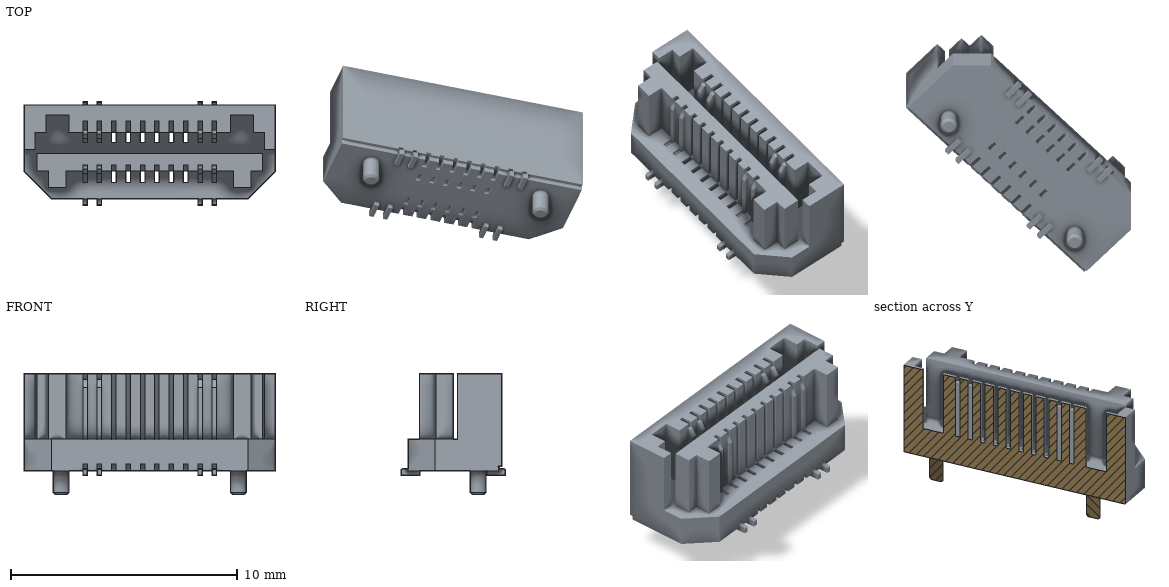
import cadquery as cq

length = 11.1
depth = 4.15
height = 4.3
base_height = 1.4
corner_chamfer = 1.2
half_length = length / 2

wall_front = 2.18
cavity_face = 2.94
cavity_half = half_length - 0.47
key_recess_outer = half_length - 0.97
key_recess_inner = half_length - 1.98
key_recess_back = 3.7
rear_step_depth = 0.15
rear_step_height = 0.2

tongue_front = 1.23
tongue_back = 2.0
tongue_half = half_length - 0.57
rib_front = 0.5
rib_outer = half_length - 1.08
rib_inner = half_length - 1.84

contact_count = 10
pitch = 0.635
slot_width = 0.2
fitted_positions = (0, 1, 8, 9)
contact_x = [(i - (contact_count - 1) / 2) * pitch for i in range(contact_count)]

tongue_slot_back = 1.5
tongue_slot_front = 0.73
wall_slot_back = 3.45
wall_slot_front = 2.5
foot_notch_height = 0.3
shoulder_drop = 0.1
shoulder_z = base_height - shoulder_drop

beam_thickness = 0.385
beam_tip = 0.18
beam_top = height - 0.27
beam_lead_in = 0.34
tongue_beam_back = tongue_slot_back
wall_beam_back = 3.05
foot_length = 0.82
foot_bottom = -0.2
foot_top = 0.1
foot_front_overhang = 0.3
foot_rear_overhang = 0.15
foot_root_inset = 0.15
foot_root_radius = 0.1
foot_tip_chamfer = 0.05

front_notch_depth = foot_length - foot_front_overhang
rear_notch_depth = foot_length - foot_rear_overhang

peg_diameter = 0.71
peg_length = 1.05
peg_chamfer = 0.1
peg_x = 3.92
peg_y = 3.1


def box(x_min, x_max, y_min, y_max, z_min, z_max):
    return (
        cq.Workplane("XY")
        .box(x_max - x_min, y_max - y_min, z_max - z_min, centered=False)
        .translate((x_min, y_min, z_min))
    )


def across_slot(x, y_min, y_max, z_min, z_max):
    """Box as wide as a contact slot, centred on x."""
    return box(x - slot_width / 2, x + slot_width / 2, y_min, y_max, z_min, z_max)


def slot_profile(x):
    """Sketch plane with local axes (Y, Z) on the low-X side of the slot at x."""
    return cq.Workplane("YZ", origin=(x - slot_width / 2, 0, 0))


def make_base():
    base = box(-half_length, half_length, 0, depth, 0, base_height)
    return base.edges("|Z and <Y").chamfer(corner_chamfer)


def make_rear_wall():
    wall = box(-half_length, half_length, wall_front, depth, base_height, height)
    wall = wall.cut(box(-cavity_half, cavity_half, wall_front, cavity_face, base_height, height))
    for x_min, x_max in (
        (-key_recess_outer, -key_recess_inner),
        (key_recess_inner, key_recess_outer),
    ):
        wall = wall.cut(box(x_min, x_max, cavity_face, key_recess_back, base_height, height))
    return wall


def make_tongue():
    tongue = box(-tongue_half, tongue_half, tongue_front, tongue_back, base_height, height)
    for x_min, x_max in ((-rib_outer, -rib_inner), (rib_inner, rib_outer)):
        tongue = tongue.union(box(x_min, x_max, rib_front, tongue_front, base_height, height))
    return tongue


def slot_cutter(x, groove_back, face, floor_front, floor_z):
    """Groove in the vertical face above the base, plus an opening sunk in the base to floor_z."""
    groove = across_slot(x, face, groove_back, base_height, height)
    opening = across_slot(x, floor_front, face, floor_z, base_height)
    return groove.union(opening)


def make_beam(x, beam_back):
    """Contact beam standing in a slot, with a sloped lead-in on its front."""
    beam_front = beam_back - beam_thickness
    return (
        slot_profile(x)
        .moveTo(beam_back, shoulder_z)
        .lineTo(beam_back, beam_top)
        .lineTo(beam_back - beam_tip, beam_top)
        .lineTo(beam_front, beam_top - beam_lead_in)
        .lineTo(beam_front, shoulder_z)
        .close()
        .extrude(slot_width)
    )


def make_foot(x, face, outward, overhang):
    """Solder foot filling the inner part of a notch; outward is the Y sign away from the housing."""
    tip = face + outward * overhang
    root = face - outward * foot_root_inset
    inner_end = tip - outward * foot_length
    return (
        slot_profile(x)
        .moveTo(inner_end, foot_bottom)
        .lineTo(tip, foot_bottom)
        .lineTo(tip, foot_top - foot_tip_chamfer)
        .lineTo(tip - outward * foot_tip_chamfer, foot_top)
        .lineTo(root + outward * foot_root_radius, foot_top)
        .radiusArc((root, foot_top + foot_root_radius), outward * foot_root_radius)
        .lineTo(root, foot_notch_height)
        .lineTo(inner_end, foot_notch_height)
        .close()
        .extrude(slot_width)
    )


def make_housing():
    """Housing with its fitted contacts joined to it as one solid."""
    body = make_base().union(make_rear_wall()).union(make_tongue())
    body = body.cut(
        box(-half_length, half_length, depth - rear_step_depth, depth, 0, rear_step_height)
    )
    for i, x in enumerate(contact_x):
        fitted = i in fitted_positions
        floor_z = shoulder_z if fitted else 0
        body = body.cut(slot_cutter(x, tongue_slot_back, tongue_front, tongue_slot_front, floor_z))
        body = body.cut(slot_cutter(x, wall_slot_back, cavity_face, wall_slot_front, floor_z))
        body = body.cut(across_slot(x, 0, front_notch_depth, 0, foot_notch_height))
        body = body.cut(across_slot(x, depth - rear_notch_depth, depth, 0, foot_notch_height))
        if fitted:
            body = body.union(make_beam(x, tongue_beam_back))
            body = body.union(make_beam(x, wall_beam_back))
            body = body.union(make_foot(x, 0, -1, foot_front_overhang))
            body = body.union(make_foot(x, depth, 1, foot_rear_overhang))
    return body


def make_peg(x):
    """Locating peg hanging from the underside of the base."""
    peg = cq.Workplane("XY").circle(peg_diameter / 2).extrude(-peg_length)
    return peg.faces("<Z").chamfer(peg_chamfer).translate((x, peg_y, 0))


housing = make_housing()
pegs = [make_peg(x) for x in (-peg_x, peg_x)]

result = cq.Compound.makeCompound([housing.val(), *[peg.val() for peg in pegs]])